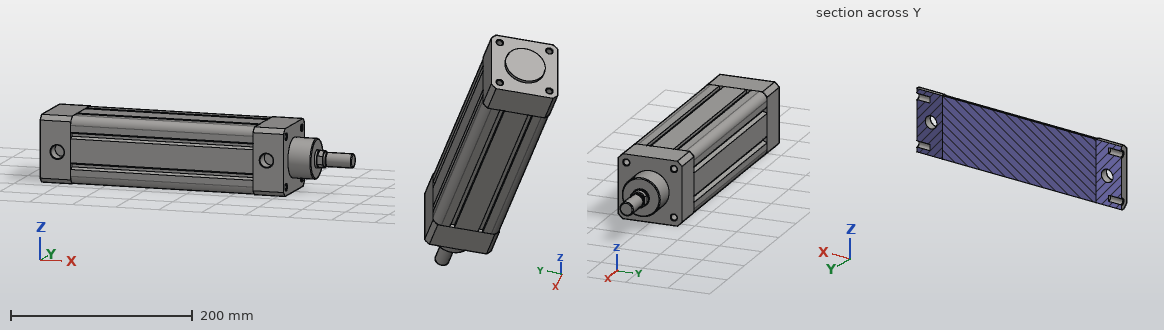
import cadquery as cq

OVERALL_LENGTH = 354.0
BODY_WIDTH = 76.0

CAP_LENGTH = 35.5
CAP_CORNER_DIAMETER = 100.2
SPIGOT_DIAMETER = 45.3
REAR_SPIGOT_LENGTH = 3.5
FRONT_SPIGOT_LENGTH = 26.5
FRONT_SPIGOT_CHAMFER = 1.0

FIXING_SPACING = 56.5
FIXING_HOLE_DIAMETER = 6.7
FIXING_HOLE_DEPTH = 17.7
FIXING_HOLE_CHAMFER = 0.9

PORT_DIAMETER = 15.2
PORT_DEPTH = 16.0
PORT_CHAMFER = 0.7
PORT_FROM_OUTER_FACE = 20.0
PORT_OFFSET_Z = 2.0

TUBE_LENGTH = 211.0
TUBE_CORNER_RADIUS = 9.5
GROOVE_INNER_EDGE = 13.5
SLOT_WIDTH = 5.3
SLOT_DEPTH = 4.0
TAPERED_GROOVE_WIDTH = 7.5
TAPERED_GROOVE_FLOOR = 3.2
TAPERED_GROOVE_DEPTH = 5.0

ROD_DIAMETER = 20.2
ROD_PROJECTION = 2.5
SHOULDER_CHAMFER = 1.0
SPANNER_DIAMETER = 19.0
SPANNER_LENGTH = 5.5
ACROSS_FLATS = 16.5
NECK_LENGTH = 2.5
STUD_DIAMETER = 16.0
STUD_CHAMFER = 1.0

REAR_CAP_START = REAR_SPIGOT_LENGTH
TUBE_START = REAR_CAP_START + CAP_LENGTH
TUBE_END = TUBE_START + TUBE_LENGTH
FRONT_CAP_END = TUBE_END + CAP_LENGTH
FRONT_SPIGOT_END = FRONT_CAP_END + FRONT_SPIGOT_LENGTH
HALF_WIDTH = BODY_WIDTH / 2


def x_cylinder(start, length, diameter):
    """A round bar along the axis."""
    return cq.Workplane("YZ", origin=(start, 0, 0)).circle(diameter / 2).extrude(length)


def chamfered_hole(mouth, direction, diameter, depth, chamfer):
    """Cutting tool for a blind hole with a chamfered mouth."""
    radius = diameter / 2
    bore = cq.Solid.makeCylinder(radius, depth, mouth, direction)
    countersink = cq.Solid.makeCone(radius + chamfer, radius, chamfer, mouth, direction)
    return cq.Workplane(bore.fuse(countersink))


def make_cap(start, outer_face, inward, port_z):
    """Block with turned corners, four fixing holes in its outer face and a port in its -Y face."""
    cap = cq.Workplane("YZ", origin=(start, 0, 0)).rect(BODY_WIDTH, BODY_WIDTH).extrude(CAP_LENGTH)
    cap = cap.intersect(x_cylinder(start, CAP_LENGTH, CAP_CORNER_DIAMETER))
    for y_side in (-1, 1):
        for z_side in (-1, 1):
            mouth = cq.Vector(outer_face, y_side * FIXING_SPACING / 2, z_side * FIXING_SPACING / 2)
            hole = chamfered_hole(
                mouth, cq.Vector(inward, 0, 0), FIXING_HOLE_DIAMETER, FIXING_HOLE_DEPTH, FIXING_HOLE_CHAMFER
            )
            cap = cap.cut(hole)
    port_mouth = cq.Vector(outer_face + inward * PORT_FROM_OUTER_FACE, -HALF_WIDTH, port_z)
    port = chamfered_hole(port_mouth, cq.Vector(0, 1, 0), PORT_DIAMETER, PORT_DEPTH, PORT_CHAMFER)
    return cap.cut(port)


def make_rear_cap():
    """Rear cap with a short locating spigot."""
    cap = make_cap(REAR_CAP_START, REAR_CAP_START, 1, -PORT_OFFSET_Z)
    spigot = x_cylinder(0, REAR_SPIGOT_LENGTH, SPIGOT_DIAMETER)
    return cap.union(spigot)


def make_front_cap():
    """Front cap with a long chamfered spigot, bored through for the rod."""
    cap = make_cap(TUBE_END, FRONT_CAP_END, -1, PORT_OFFSET_Z)
    spigot = x_cylinder(FRONT_CAP_END, FRONT_SPIGOT_LENGTH, SPIGOT_DIAMETER)
    spigot = spigot.faces(">X").chamfer(FRONT_SPIGOT_CHAMFER)
    rod_bore = x_cylinder(TUBE_END, CAP_LENGTH + FRONT_SPIGOT_LENGTH, ROD_DIAMETER)
    return cap.union(spigot).cut(rod_bore)


def groove_cutter(center_y, mouth_width, floor_width, depth):
    """Cutting tool for a groove along the +Z face of the tube."""
    floor_z = HALF_WIDTH - depth
    profile = [
        (center_y - mouth_width / 2, HALF_WIDTH),
        (center_y + mouth_width / 2, HALF_WIDTH),
        (center_y + floor_width / 2, floor_z),
        (center_y - floor_width / 2, floor_z),
    ]
    return cq.Workplane("YZ", origin=(TUBE_START, 0, 0)).polyline(profile).close().extrude(TUBE_LENGTH)


def make_tube():
    """Round-cornered bar: straight slots in the +Z and -Z faces, tapered grooves in the Y faces."""
    tube = cq.Workplane("YZ", origin=(TUBE_START, 0, 0)).rect(BODY_WIDTH, BODY_WIDTH).extrude(TUBE_LENGTH)
    tube = tube.edges("|X").fillet(TUBE_CORNER_RADIUS)
    slot = (SLOT_WIDTH, SLOT_WIDTH, SLOT_DEPTH)
    tapered_groove = (TAPERED_GROOVE_WIDTH, TAPERED_GROOVE_FLOOR, TAPERED_GROOVE_DEPTH)
    for turn, (mouth, floor, depth) in ((0, slot), (90, tapered_groove), (180, slot), (270, tapered_groove)):
        for side in (-1, 1):
            cutter = groove_cutter(side * (GROOVE_INNER_EDGE + mouth / 2), mouth, floor, depth)
            tube = tube.cut(cutter.rotate((0, 0, 0), (1, 0, 0), turn))
    return tube


def make_rod():
    """Stepped round rod with two spanner flats just ahead of its stud."""
    shoulder = FRONT_SPIGOT_END + ROD_PROJECTION
    spanner_start = shoulder + SHOULDER_CHAMFER
    spanner_end = spanner_start + SPANNER_LENGTH
    stud_start = spanner_end + NECK_LENGTH
    profile = [
        (TUBE_END, 0),
        (TUBE_END, ROD_DIAMETER / 2),
        (shoulder, ROD_DIAMETER / 2),
        (spanner_start, SPANNER_DIAMETER / 2),
        (spanner_end, SPANNER_DIAMETER / 2),
        (spanner_end, STUD_DIAMETER / 2),
        (stud_start, STUD_DIAMETER / 2),
        (stud_start, STUD_DIAMETER / 2 - STUD_CHAMFER),
        (stud_start + STUD_CHAMFER, STUD_DIAMETER / 2),
        (OVERALL_LENGTH - STUD_CHAMFER, STUD_DIAMETER / 2),
        (OVERALL_LENGTH, STUD_DIAMETER / 2 - STUD_CHAMFER),
        (OVERALL_LENGTH, 0),
    ]
    rod = cq.Workplane("XY").polyline(profile).close().revolve(360, (0, 0, 0), (1, 0, 0))
    flat_depth = (ROD_DIAMETER - ACROSS_FLATS) / 2
    flats_length = spanner_end - shoulder
    for side in (-1, 1):
        flat = cq.Workplane("XY").box(flats_length, flat_depth, ROD_DIAMETER)
        flat_center_y = side * (ACROSS_FLATS + flat_depth) / 2
        rod = rod.cut(flat.translate((shoulder + flats_length / 2, flat_center_y, 0)))
    return rod


rear_cap = make_rear_cap()
tube = make_tube()
front_cap = make_front_cap()
rod = make_rod()

result = cq.Compound.makeCompound([rear_cap.val(), tube.val(), front_cap.val(), rod.val()])